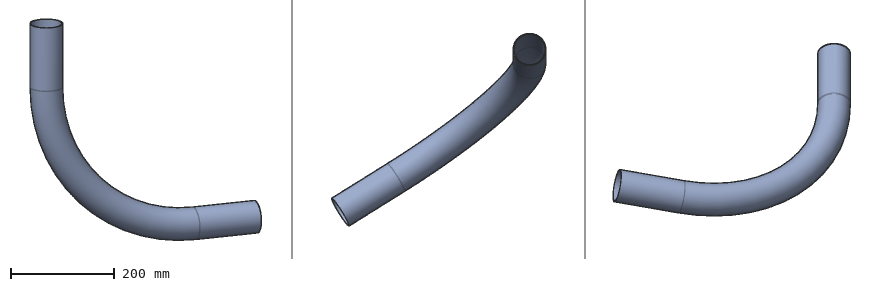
import cadquery as cq

OUTER_DIAMETER = 63.5
INNER_DIAMETER = 59.28
BEND_RADIUS = 304.8
BEND_ANGLE = 90.0
LEG_LENGTH = 127.0


def tube_section(plane):
    """Annular cross-section of the tube, centred on the given plane."""
    return cq.Workplane(plane).circle(OUTER_DIAMETER / 2).circle(INNER_DIAMETER / 2)


upper_tangent = (0, 0, BEND_RADIUS)
lower_tangent = (0, BEND_RADIUS, 0)

upper_plane = cq.Plane(origin=upper_tangent, xDir=(1, 0, 0), normal=(0, 0, 1))
lower_plane = cq.Plane(origin=lower_tangent, xDir=(1, 0, 0), normal=(0, 1, 0))

vertical_leg = tube_section(upper_plane).extrude(LEG_LENGTH)
horizontal_leg = tube_section(lower_plane).extrude(LEG_LENGTH)

bend_axis_start = (0, BEND_RADIUS)
bend_axis_end = (1, BEND_RADIUS)
elbow = tube_section(upper_plane).revolve(BEND_ANGLE, bend_axis_start, bend_axis_end)

result = elbow.union(vertical_leg).union(horizontal_leg)